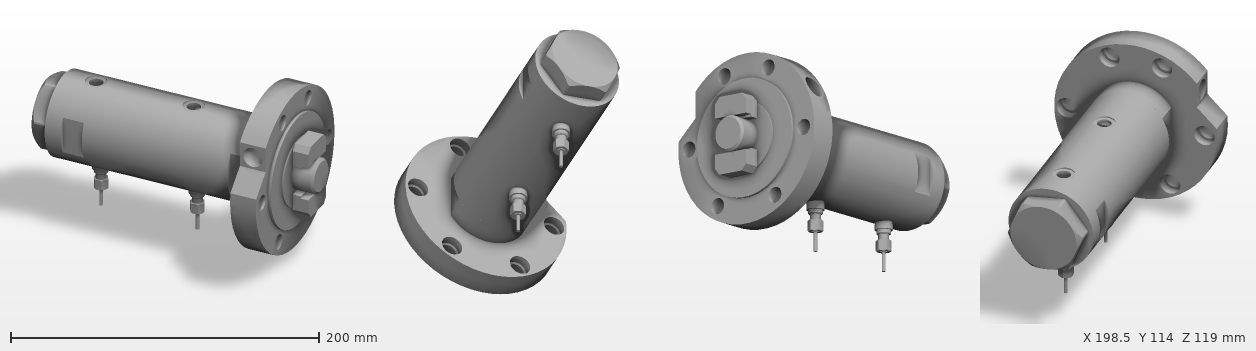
import cadquery as cq
import math


HEX_END = 12.7
CAP_END = 15.0
STUB_END = 38.3
PISTON_LENGTH = 23.8
SPIGOT_START = 107.1
BARREL_END = 145.2
NECK_END = 161.0
FLANGE_END = 179.5
PILOT_END = 181.8
BUSH_END = 183.0
JAW_START = 184.3
HOOK_START = 190.0
JAW_END = 195.6
ROD_END = 198.5

BARREL_RADIUS = 29.5
FLANGE_RADIUS = 57.0
PILOT_RADIUS = 39.7
SPIGOT_RADIUS = 26.5
BUSH_RADIUS = 24.2
BORE_RADIUS = 19.8
ROD_RADIUS = 12.1
STUB_RADIUS = 17.9

HEX_APOTHEM = 23.0
HEX_CORNER_RADIUS = 26.2
HEX_TURN = 7.8

PORT_STATIONS = (35.3, 106.2)
PORT_RADIUS = 4.8
SPOTFACE_RADIUS = 7.3
SPOTFACE_HEIGHT = 28.5
POCKET_START = 24.6
POCKET_END = 39.7
POCKET_HALF_WIDTH = 26.5

NECK_HALF_WIDTH = 24.8
BOLT_CIRCLE_RADIUS = 48.0
BOLT_ANGLES = (0, 67.5, 112.5, 180, 240, 300)
BOLT_RADIUS = 5.4
COUNTERBORE_RADIUS = 7.1
COUNTERBORE_DEPTH = 6.3
NOTCH_FACE_Y = -42.7
NOTCH_CORNER_Z = 20.0
NOTCH_EDGE_Z = 6.7
CROSS_HOLE_RADIUS = 7.0
CROSS_HOLE_Z = 28.5

ROD_FLAT = 10.5
ROD_CHAMFER = 1.5
JAW_TOP = 26.0
JAW_HALF_WIDTH = 12.9
JAW_CHAMFER_WIDTH = 3.5
JAW_CHAMFER_HEIGHT = 4.2

SENSOR_STATIONS = (38.9, 108.7)
BOSS_RADIUS = 5.8
BOSS_BOTTOM = 30.8
COLLAR_RADIUS = 6.0
COLLAR_BOTTOM = 34.3
SHOULDER_RADIUS = 4.8
SHOULDER_BOTTOM = 37.3
SHOULDER_CHAMFER = 0.5
STEM_RADIUS = 3.5
NUT_TOP = 41.3
NUT_BOTTOM = 48.6
NUT_APOTHEM = 4.5
NUT_CHAMFER = 0.5
NOSE_RADIUS = 2.5
NOSE_BOTTOM = 49.2
CABLE_RADIUS = 1.2
CABLE_BOTTOM = 62.0


def x_cylinder(radius, start, end):
    return cq.Workplane("YZ", origin=(start, 0, 0)).circle(radius).extrude(end - start)


def down_cylinder(radius, x, top, bottom):
    """Upright cylinder at station x between two depths below the axis."""
    return cq.Workplane("XY", origin=(x, 0, -bottom)).circle(radius).extrude(bottom - top)


def box_between(x_range, y_range, z_range):
    lows, highs = zip(x_range, y_range, z_range)
    sizes = [high - low for low, high in zip(lows, highs)]
    return cq.Workplane("XY").box(*sizes, centered=False).translate(lows)


def hexagon_corner_radius(apothem):
    return apothem / math.cos(math.radians(30))


def make_cap():
    hexagon = (
        cq.Workplane("YZ")
        .polygon(6, 2 * hexagon_corner_radius(HEX_APOTHEM))
        .extrude(HEX_END)
        .rotate((0, 0, 0), (1, 0, 0), -HEX_TURN)
    )
    corner_chamfer = HEX_CORNER_RADIUS - HEX_APOTHEM
    envelope = x_cylinder(HEX_CORNER_RADIUS, 0, HEX_END).faces("<X").chamfer(corner_chamfer)
    rim = x_cylinder(BARREL_RADIUS, HEX_END, CAP_END)
    stub = x_cylinder(STUB_RADIUS, CAP_END, STUB_END)
    return hexagon.intersect(envelope).union(rim).union(stub)


def make_barrel():
    barrel = x_cylinder(BARREL_RADIUS, CAP_END, BARREL_END)
    for x in SENSOR_STATIONS:
        barrel = barrel.union(down_cylinder(BOSS_RADIUS, x, 0, BOSS_BOTTOM))
    barrel = barrel.cut(x_cylinder(BORE_RADIUS, CAP_END, BARREL_END))
    barrel = barrel.cut(x_cylinder(SPIGOT_RADIUS, SPIGOT_START, BARREL_END))
    for x in PORT_STATIONS:
        port = cq.Workplane("XY", origin=(x, 0, 0)).circle(PORT_RADIUS).extrude(BARREL_RADIUS)
        spotface = (
            cq.Workplane("XY", origin=(x, 0, SPOTFACE_HEIGHT))
            .circle(SPOTFACE_RADIUS)
            .extrude(BARREL_RADIUS - SPOTFACE_HEIGHT)
        )
        barrel = barrel.cut(port).cut(spotface)
    for y_range in (
        (POCKET_HALF_WIDTH, BARREL_RADIUS),
        (-BARREL_RADIUS, -POCKET_HALF_WIDTH),
    ):
        pocket = box_between((POCKET_START, POCKET_END), y_range, (-BARREL_RADIUS, BARREL_RADIUS))
        barrel = barrel.cut(pocket)
    return barrel


def make_neck():
    flats = box_between(
        (BARREL_END, NECK_END),
        (-NECK_HALF_WIDTH, NECK_HALF_WIDTH),
        (-BARREL_RADIUS, BARREL_RADIUS),
    )
    return x_cylinder(BARREL_RADIUS, BARREL_END, NECK_END).intersect(flats)


def make_flange_notch():
    """Cut with an upright face and a sloped face at the -Y side of the flange rim."""
    edge_y = -math.sqrt(FLANGE_RADIUS**2 - NOTCH_EDGE_Z**2)
    return (
        cq.Workplane("YZ", origin=(NECK_END, 0, 0))
        .moveTo(NOTCH_FACE_Y, FLANGE_RADIUS)
        .lineTo(NOTCH_FACE_Y, NOTCH_CORNER_Z)
        .lineTo(edge_y, NOTCH_EDGE_Z)
        .lineTo(-FLANGE_RADIUS, NOTCH_EDGE_Z)
        .lineTo(-FLANGE_RADIUS, FLANGE_RADIUS)
        .close()
        .extrude(FLANGE_END - NECK_END)
    )


def make_front_head():
    flange = x_cylinder(FLANGE_RADIUS, NECK_END, FLANGE_END).cut(make_flange_notch())
    for angle in BOLT_ANGLES:
        y = BOLT_CIRCLE_RADIUS * math.cos(math.radians(angle))
        z = BOLT_CIRCLE_RADIUS * math.sin(math.radians(angle))
        bolt_hole = x_cylinder(BOLT_RADIUS, NECK_END, FLANGE_END)
        counterbore = x_cylinder(COUNTERBORE_RADIUS, NECK_END, NECK_END + COUNTERBORE_DEPTH)
        flange = flange.cut(bolt_hole.union(counterbore).translate((0, y, z)))
    cross_hole = (
        cq.Workplane("XZ", origin=((NECK_END + FLANGE_END) / 2, FLANGE_RADIUS, CROSS_HOLE_Z))
        .circle(CROSS_HOLE_RADIUS)
        .extrude(FLANGE_RADIUS - NOTCH_FACE_Y)
    )
    spigot = x_cylinder(SPIGOT_RADIUS, SPIGOT_START, BARREL_END)
    pilot = x_cylinder(PILOT_RADIUS, FLANGE_END, PILOT_END)
    rod_bore = x_cylinder(ROD_RADIUS, SPIGOT_START, NECK_END)
    bush_bore = x_cylinder(BUSH_RADIUS, NECK_END, PILOT_END)
    head = flange.cut(cross_hole).union(make_neck()).union(spigot).union(pilot)
    return head.cut(rod_bore).cut(bush_bore)


def make_bush():
    bush = x_cylinder(BUSH_RADIUS, NECK_END, BUSH_END)
    return bush.cut(x_cylinder(ROD_RADIUS, NECK_END, BUSH_END))


def make_rod():
    piston = x_cylinder(BORE_RADIUS, STUB_END, STUB_END + PISTON_LENGTH)
    rod = x_cylinder(ROD_RADIUS, STUB_END, ROD_END).faces(">X").chamfer(ROD_CHAMFER)
    for z_range in ((ROD_FLAT, ROD_RADIUS), (-ROD_RADIUS, -ROD_FLAT)):
        rod = rod.cut(box_between((BUSH_END, HOOK_START), (-ROD_RADIUS, ROD_RADIUS), z_range))
    return rod.union(piston)


def make_jaw(side):
    """Jaw that hooks behind the rod head; side is +1 above the rod and -1 below it."""
    chamfer_z = JAW_TOP - JAW_CHAMFER_HEIGHT
    chamfer_y = JAW_HALF_WIDTH - JAW_CHAMFER_WIDTH
    jaw = (
        cq.Workplane("YZ", origin=(JAW_START, 0, 0))
        .polyline(
            [
                (-JAW_HALF_WIDTH, side * ROD_FLAT),
                (-JAW_HALF_WIDTH, side * chamfer_z),
                (-chamfer_y, side * JAW_TOP),
                (chamfer_y, side * JAW_TOP),
                (JAW_HALF_WIDTH, side * chamfer_z),
                (JAW_HALF_WIDTH, side * ROD_FLAT),
            ]
        )
        .close()
        .extrude(JAW_END - JAW_START)
    )
    head_clearance = box_between(
        (HOOK_START, JAW_END), (-JAW_HALF_WIDTH, JAW_HALF_WIDTH), (-ROD_RADIUS, ROD_RADIUS)
    )
    return jaw.cut(head_clearance)


def make_sensor(x):
    collar = down_cylinder(COLLAR_RADIUS, x, BOSS_BOTTOM, COLLAR_BOTTOM)
    shoulder = (
        down_cylinder(SHOULDER_RADIUS, x, COLLAR_BOTTOM, SHOULDER_BOTTOM)
        .faces("<Z")
        .chamfer(SHOULDER_CHAMFER)
    )
    stem = down_cylinder(STEM_RADIUS, x, SHOULDER_BOTTOM, NUT_TOP)
    nut_corner_radius = hexagon_corner_radius(NUT_APOTHEM)
    nut = (
        cq.Workplane("XY", origin=(x, 0, -NUT_BOTTOM))
        .polygon(6, 2 * nut_corner_radius)
        .extrude(NUT_BOTTOM - NUT_TOP)
    )
    nut_envelope = (
        down_cylinder(nut_corner_radius, x, NUT_TOP, NUT_BOTTOM)
        .faces("<Z or >Z")
        .chamfer(NUT_CHAMFER)
    )
    nose = down_cylinder(NOSE_RADIUS, x, NUT_BOTTOM, NOSE_BOTTOM)
    cable = down_cylinder(CABLE_RADIUS, x, NOSE_BOTTOM, CABLE_BOTTOM)
    return (
        collar.union(shoulder)
        .union(stem)
        .union(nut.intersect(nut_envelope))
        .union(nose)
        .union(cable)
    )


cap = make_cap()
barrel = make_barrel()
front_head = make_front_head()
bush = make_bush()
rod = make_rod()
jaws = [make_jaw(side) for side in (1, -1)]
sensors = [make_sensor(x) for x in SENSOR_STATIONS]

result = cq.Compound.makeCompound(
    [
        cap.val(),
        barrel.val(),
        front_head.val(),
        bush.val(),
        rod.val(),
        *[jaw.val() for jaw in jaws],
        *[sensor.val() for sensor in sensors],
    ]
)